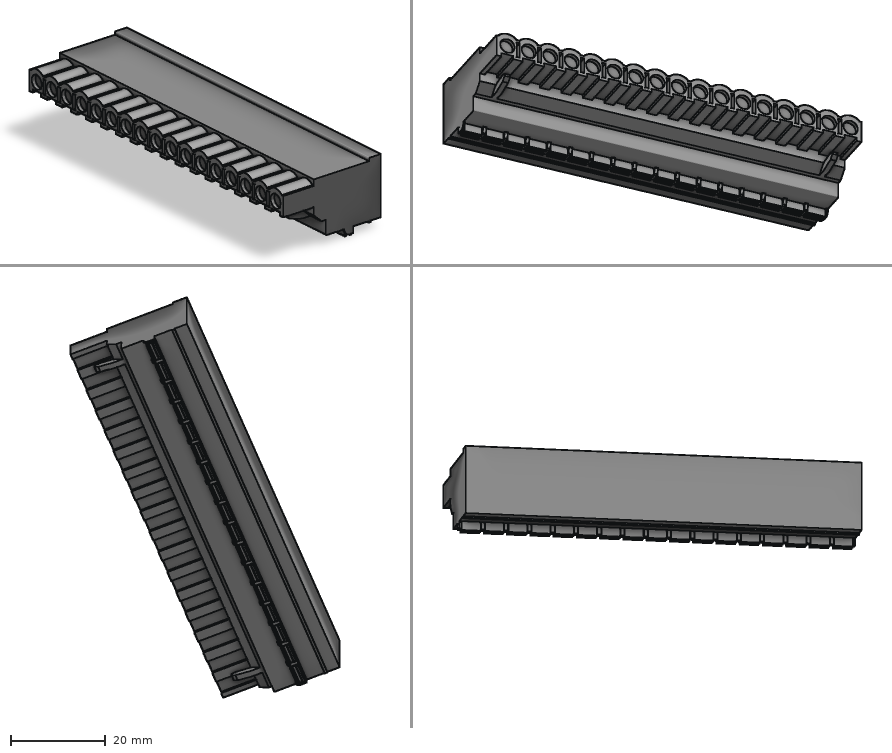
import cadquery as cq

LENGTH = 85.1
DEPTH = 26.6
BODY_HEIGHT = 14.6
OVERALL_HEIGHT = 16.7
LEG_LENGTH = OVERALL_HEIGHT - BODY_HEIGHT

POLE_COUNT = 17
FIRST_TO_LAST_POLE = 80.0
PITCH = FIRST_TO_LAST_POLE / (POLE_COUNT - 1)

RIDGE_DEPTH = 3.2
RIDGE_FILLET = 0.3
BODY_TOP = 13.9
BODY_DEPTH = 18.3
UNDERCUT_TOP = 5.5
UNDERCUT_DEPTH = 16.2
LOWER_TOP = 3.6
LOWER_DEPTH = 15.0
LOWER_BOTTOM_FILLET = 0.25

BARREL_RADIUS = 3.0
BARREL_WIDTH = 4.2
BARREL_AXIS_HEIGHT = 10.3
BARREL_BOTTOM = 7.4
WEB_TOP = 12.3
HOLE_DIAMETER = 3.3
HOLE_DEPTH = 1.0
KEYWAY_WIDTH = 2.8
KEYWAY_TOP = 8.2
SLOT_WIDTH = 0.8
SLOT_BOTTOM = KEYWAY_TOP
SLOT_TOP = 11.75
SLOT_DEPTH = 2.55

LATCH_WIDTH = 1.3
LATCH_CENTRE = 38.2
LATCH_BEND_DEPTH = 21.8
LATCH_BEND_BOTTOM = 4.4
LATCH_BEND_TOP = 6.1
LATCH_TIP_DEPTH = 22.7
LATCH_TIP_BOTTOM = 5.4
LATCH_TIP_TOP = 5.9

BEAD_START = 2.8
BEAD_WIDTH = 0.6
BEAD_HEIGHT = 0.3
FOOT_BACK = 7.5
FOOT_FRONT = 9.5
FOOT_WIDTH = 4.0
FOOT_SLOT_START = 8.25
FOOT_SLOT_END = 8.9
FOOT_SLOT_HEIGHT = 0.5
FOOT_CHAMFER = 0.2
RIB_WIDTH = 0.8
RIB_FRONT = 10.0
RIB_SLOPE_TOP = 0.2
RIB_SLOPE_BOTTOM = 1.3
RIB_FOOT_FRONT = 9.2
RIB_HEIGHT = 1.5

OVERLAP = 0.85

BACK = DEPTH / 2
POLE_CENTRES = [(i - (POLE_COUNT - 1) / 2) * PITCH for i in range(POLE_COUNT)]
POLE_BOUNDARIES = [(i - POLE_COUNT / 2) * PITCH for i in range(1, POLE_COUNT)]


def block(x_centre, width, front, back, bottom, top):
    """Box between two distances from the back face and two heights."""
    return (
        cq.Workplane("XY")
        .box(width, front - back, top - bottom, centered=(True, False, False))
        .translate((x_centre, BACK - front, bottom))
    )


def side_prism(points, x_centre, width):
    """Extrude a (distance from back, height) outline along X."""
    outline = [(BACK - distance, height) for distance, height in points]
    return (
        cq.Workplane("YZ", origin=(x_centre - width / 2, 0, 0))
        .polyline(outline)
        .close()
        .extrude(width)
    )


def front_cylinder(x_centre, radius, front, back):
    """Cylinder along Y at the barrel axis height."""
    return (
        cq.Workplane("XZ", origin=(x_centre, BACK - back, BARREL_AXIS_HEIGHT))
        .circle(radius)
        .extrude(front - back)
    )


def edge_at(distance, height):
    """Select the long edge at a distance from the back face and a height."""
    return cq.selectors.NearestToPointSelector((0, BACK - distance, height))


def housing():
    """Main body with its top ridge, front undercut and bottom bead."""
    points = [
        (0, 0),
        (0, BODY_HEIGHT),
        (RIDGE_DEPTH, BODY_HEIGHT),
        (RIDGE_DEPTH, BODY_TOP),
        (BODY_DEPTH, BODY_TOP),
        (BODY_DEPTH, UNDERCUT_TOP),
        (UNDERCUT_DEPTH, LOWER_TOP),
        (LOWER_DEPTH, LOWER_TOP),
        (LOWER_DEPTH, 0),
    ]
    bead = block(0, LENGTH, BEAD_START + BEAD_WIDTH, BEAD_START, -BEAD_HEIGHT, OVERLAP)
    body = side_prism(points, 0, LENGTH)
    body = body.edges(edge_at(RIDGE_DEPTH, BODY_HEIGHT)).fillet(RIDGE_FILLET)
    body = body.edges(edge_at(LOWER_DEPTH, 0)).fillet(LOWER_BOTTOM_FILLET)
    return body.union(bead)


def barrel_row():
    """Round-topped barrels joined by flat webs."""
    row = block(0, LENGTH, DEPTH, UNDERCUT_DEPTH, BARREL_BOTTOM, WEB_TOP)
    for x in POLE_CENTRES:
        crown = front_cylinder(x, BARREL_RADIUS, DEPTH, UNDERCUT_DEPTH)
        above_web = block(x, BARREL_WIDTH, DEPTH, UNDERCUT_DEPTH, BARREL_AXIS_HEIGHT, BODY_TOP)
        row = row.union(crown.intersect(above_web))
    return row


def barrel_cuts():
    """Wire holes, keyways beneath the barrels and slots between them."""
    cuts = []
    for x in POLE_CENTRES:
        cuts.append(front_cylinder(x, HOLE_DIAMETER / 2, DEPTH, DEPTH - HOLE_DEPTH))
        cuts.append(block(x, KEYWAY_WIDTH, DEPTH, BODY_DEPTH, BARREL_BOTTOM, KEYWAY_TOP))
    for x in POLE_BOUNDARIES:
        cuts.append(block(x, SLOT_WIDTH, DEPTH, DEPTH - SLOT_DEPTH, SLOT_BOTTOM, SLOT_TOP))
    return cuts


def latch(x_centre):
    """Hook reaching forward from the undercut."""
    points = [
        (UNDERCUT_DEPTH, LOWER_TOP),
        (BODY_DEPTH, LOWER_TOP),
        (LATCH_BEND_DEPTH, LATCH_BEND_BOTTOM),
        (LATCH_TIP_DEPTH, LATCH_TIP_BOTTOM),
        (LATCH_TIP_DEPTH, LATCH_TIP_TOP),
        (LATCH_BEND_DEPTH, LATCH_BEND_TOP),
        (BODY_DEPTH, UNDERCUT_TOP),
    ]
    return side_prism(points, x_centre, LATCH_WIDTH)


def foot(x_centre):
    """Pair of legs joined by a short pad."""
    legs = block(x_centre, FOOT_WIDTH, FOOT_FRONT, FOOT_BACK, -LEG_LENGTH, OVERLAP)
    slot_roof = -LEG_LENGTH + FOOT_SLOT_HEIGHT
    gap = block(x_centre, FOOT_WIDTH, FOOT_SLOT_END, FOOT_SLOT_START, -LEG_LENGTH, slot_roof)
    return legs.cut(gap).faces("<Z").edges("|X").chamfer(FOOT_CHAMFER)


def rib(x_centre, width):
    """Sloped rib between neighbouring feet."""
    points = [
        (FOOT_BACK, OVERLAP),
        (RIB_FRONT, OVERLAP),
        (RIB_FRONT, -RIB_SLOPE_TOP),
        (FOOT_FRONT, -RIB_SLOPE_BOTTOM),
        (RIB_FOOT_FRONT, -RIB_HEIGHT),
        (FOOT_BACK, -RIB_HEIGHT),
    ]
    return side_prism(points, x_centre, width)


result = housing().union(barrel_row())
for cut in barrel_cuts():
    result = result.cut(cut)

end_rib_width = RIB_WIDTH / 2
for side in (-1, 1):
    result = result.union(latch(side * LATCH_CENTRE))
    result = result.union(rib(side * (LENGTH - end_rib_width) / 2, end_rib_width))
for x in POLE_CENTRES:
    result = result.union(foot(x))
for x in POLE_BOUNDARIES:
    result = result.union(rib(x, RIB_WIDTH))